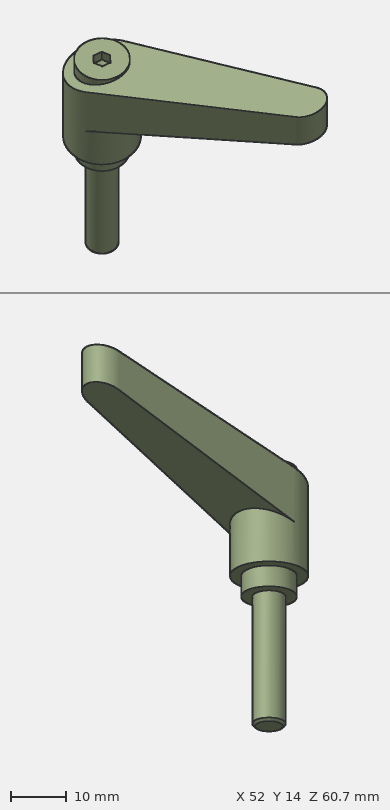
import cadquery as cq
import math

STUD_RADIUS = 3.0
STUD_LENGTH = 25.0
STUD_CHAMFER = 0.5

INSERT_RADIUS = 5.0
COLLAR_HEIGHT = 4.0
HEAD_TOP_Z = 49.5

SOCKET_ACROSS_FLATS = 3.0
SOCKET_DEPTH = 2.0
DRILL_POINT_ANGLE = 120.0

HUB_RADIUS = 7.0
TIP_RADIUS = 4.0
TIP_CENTRE_X = 41.0
TOP_SLOPE = 16.15
UNDERSIDE_SLOPE = 20.0
TIP_TOP_Z = 60.69
TIP_HEIGHT = 7.2

HUB_BOTTOM_Z = STUD_LENGTH + COLLAR_HEIGHT
TIP_END_X = TIP_CENTRE_X + TIP_RADIUS


def top_z(x):
    """Height of the sloping upper face at x."""
    return TIP_TOP_Z - (TIP_END_X - x) * math.tan(math.radians(TOP_SLOPE))


def underside_z(x):
    """Height of the sloping lower face of the arm at x."""
    return TIP_TOP_Z - TIP_HEIGHT - (TIP_END_X - x) * math.tan(math.radians(UNDERSIDE_SLOPE))


TANGENT_SIN = (HUB_RADIUS - TIP_RADIUS) / TIP_CENTRE_X
TANGENT_COS = math.sqrt(1 - TANGENT_SIN**2)
HUB_TANGENT_X = HUB_RADIUS * TANGENT_SIN
HUB_TANGENT_Y = HUB_RADIUS * TANGENT_COS
TIP_TANGENT_X = TIP_CENTRE_X + TIP_RADIUS * TANGENT_SIN
TIP_TANGENT_Y = TIP_RADIUS * TANGENT_COS


def side_prism(points):
    """Prism with an XZ outline, as wide as the hub and centred on Y = 0."""
    return cq.Workplane("XZ").polyline(points).close().extrude(HUB_RADIUS, both=True)


def make_hub():
    hub = (
        cq.Workplane("XY")
        .workplane(offset=HUB_BOTTOM_Z)
        .circle(HUB_RADIUS)
        .extrude(TIP_TOP_Z - HUB_BOTTOM_Z)
    )
    below_top = side_prism([
        (-HUB_RADIUS, HUB_BOTTOM_Z),
        (HUB_RADIUS, HUB_BOTTOM_Z),
        (HUB_RADIUS, top_z(HUB_RADIUS)),
        (-HUB_RADIUS, top_z(-HUB_RADIUS)),
    ])
    return hub.intersect(below_top)


def make_arm():
    plan = (
        cq.Workplane("XY")
        .moveTo(HUB_TANGENT_X, -HUB_TANGENT_Y)
        .lineTo(TIP_TANGENT_X, -TIP_TANGENT_Y)
        .threePointArc((TIP_END_X, 0), (TIP_TANGENT_X, TIP_TANGENT_Y))
        .lineTo(HUB_TANGENT_X, HUB_TANGENT_Y)
        .close()
        .extrude(TIP_TOP_Z)
    )
    profile = side_prism([
        (HUB_TANGENT_X, underside_z(HUB_TANGENT_X)),
        (TIP_END_X, underside_z(TIP_END_X)),
        (TIP_END_X, TIP_TOP_Z),
        (HUB_TANGENT_X, top_z(HUB_TANGENT_X)),
    ])
    return plan.intersect(profile)


def make_stud():
    return (
        cq.Workplane("XY")
        .circle(STUD_RADIUS)
        .extrude(STUD_LENGTH)
        .faces("<Z")
        .chamfer(STUD_CHAMFER)
    )


def make_insert():
    """Collar and screw head as one cylinder running through the hub."""
    return (
        cq.Workplane("XY")
        .workplane(offset=STUD_LENGTH)
        .circle(INSERT_RADIUS)
        .extrude(HEAD_TOP_Z - STUD_LENGTH)
    )


def make_socket():
    """Hexagonal pocket with corners on the X axis and a conical floor."""
    corner_radius = SOCKET_ACROSS_FLATS / math.sqrt(3)
    point_depth = corner_radius / math.tan(math.radians(DRILL_POINT_ANGLE / 2))
    total_depth = SOCKET_DEPTH + point_depth
    hexagon = (
        cq.Workplane("XY")
        .workplane(offset=HEAD_TOP_Z - total_depth)
        .polygon(6, 2 * corner_radius)
        .extrude(total_depth)
    )
    drilled_hole = (
        cq.Workplane("XZ")
        .moveTo(0, HEAD_TOP_Z)
        .lineTo(corner_radius, HEAD_TOP_Z)
        .lineTo(corner_radius, HEAD_TOP_Z - SOCKET_DEPTH)
        .lineTo(0, HEAD_TOP_Z - total_depth)
        .close()
        .revolve(360, (0, 0), (0, 1))
    )
    return hexagon.intersect(drilled_hole)


body = make_stud().union(make_insert()).union(make_hub()).union(make_arm())
result = body.cut(make_socket())